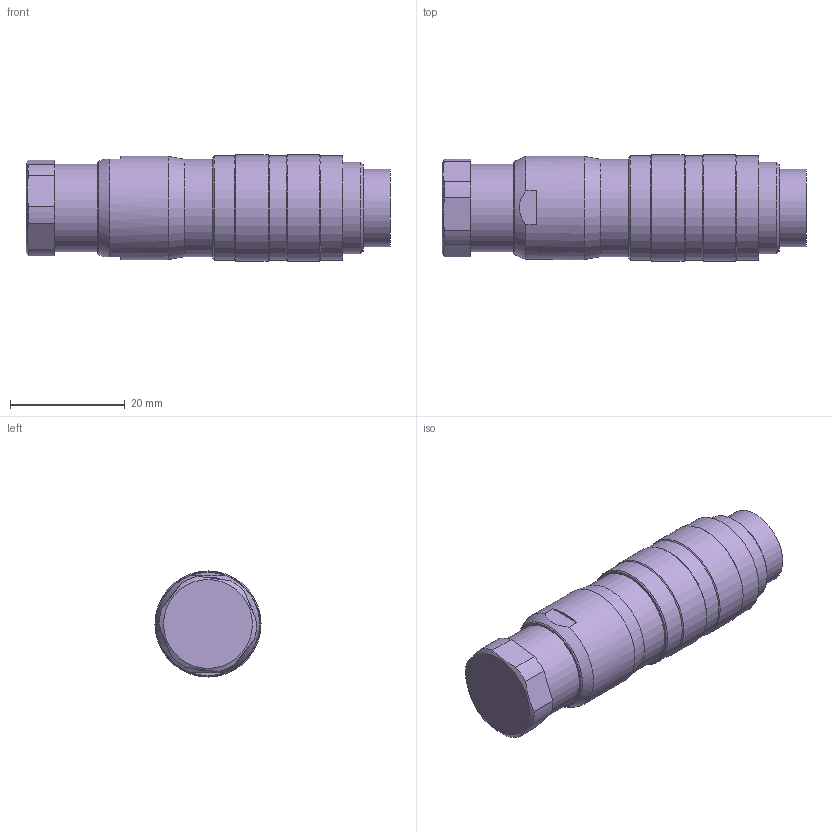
import cadquery as cq
import math


nut_length = 5.0
nut_diameter = 17.0
nut_across_flats = 16.0
nut_face_diameter = 15.5
nut_turn = 8.0
nut_chamfer_angle = 30.0
nut_chamfer_length = (nut_diameter - nut_face_diameter) / 2 * math.tan(math.radians(nut_chamfer_angle))

neck_diameter = 15.2

sleeve_start = 12.5
sleeve_end_diameter = 15.9
sleeve_edge_chamfer = 0.2
sleeve_full_start = 14.6
sleeve_full_end = 24.8
sleeve_diameter = 18.0
waist_start = 27.6
waist_diameter = 17.0

wrench_across_flats = 17.0
wrench_flat_end = 16.5

ring_start = 32.6
ring_end = 55.3
ring_diameter = 18.15
ring_chamfer = 0.2
band_diameter = 18.5
band_width = 6.0
band_starts = (36.4, 45.4)
band_chamfer = (band_diameter - ring_diameter) / 2

shoulder_end = 58.8
shoulder_diameter = 16.0
shoulder_tip_diameter = 15.08
shoulder_chamfer = 0.4
nose_diameter = 13.5
total_length = 63.5


def cylinder(start, end, diameter):
    """Solid cylinder on the X axis."""
    return cq.Workplane("YZ").workplane(offset=start).circle(diameter / 2).extrude(end - start)


def turned(stations):
    """Solid of revolution about X through (x, diameter) stations."""
    outline = [(x, diameter / 2) for x, diameter in stations]
    first_x = stations[0][0]
    last_x = stations[-1][0]
    closed_outline = [(first_x, 0)] + outline + [(last_x, 0)]
    return cq.Workplane("XY").polyline(closed_outline).close().revolve(360, (0, 0, 0), (1, 0, 0))


def back_nut():
    round_blank = turned([
        (0, nut_face_diameter),
        (nut_chamfer_length, nut_diameter),
        (nut_length, nut_diameter),
    ])
    hexagon = (
        cq.Workplane("YZ")
        .polygon(6, nut_across_flats, circumscribed=True)
        .extrude(nut_length)
        .rotate((0, 0, 0), (1, 0, 0), 90 + nut_turn)
    )
    return round_blank.intersect(hexagon)


def rear_sleeve():
    sleeve = turned([
        (sleeve_start, sleeve_end_diameter),
        (sleeve_start + sleeve_edge_chamfer, sleeve_end_diameter + 2 * sleeve_edge_chamfer),
        (sleeve_full_start, sleeve_diameter),
        (sleeve_full_end, sleeve_diameter),
        (waist_start, waist_diameter),
        (ring_start, waist_diameter),
    ])
    flat_length = wrench_flat_end - sleeve_start
    for side in (1, -1):
        cutter = cq.Workplane("XY").box(
            flat_length, sleeve_diameter, sleeve_diameter, centered=(False, True, True)
        )
        cutter_height = side * (wrench_across_flats + sleeve_diameter) / 2
        sleeve = sleeve.cut(cutter.translate((sleeve_start, 0, cutter_height)))
    return sleeve


def coupling_ring():
    ring = cylinder(ring_start, ring_end, ring_diameter).faces("<X").chamfer(ring_chamfer)
    for band_start in band_starts:
        band = turned([
            (band_start, ring_diameter),
            (band_start + band_chamfer, band_diameter),
            (band_start + band_width - band_chamfer, band_diameter),
            (band_start + band_width, ring_diameter),
        ])
        ring = ring.union(band)
    return ring


def front_end():
    return turned([
        (ring_end, shoulder_diameter),
        (shoulder_end - shoulder_chamfer, shoulder_diameter),
        (shoulder_end, shoulder_tip_diameter),
        (shoulder_end, nose_diameter),
        (total_length, nose_diameter),
    ])


neck = cylinder(nut_length, sleeve_start, neck_diameter)
result = back_nut().union(neck).union(rear_sleeve()).union(coupling_ring()).union(front_end())